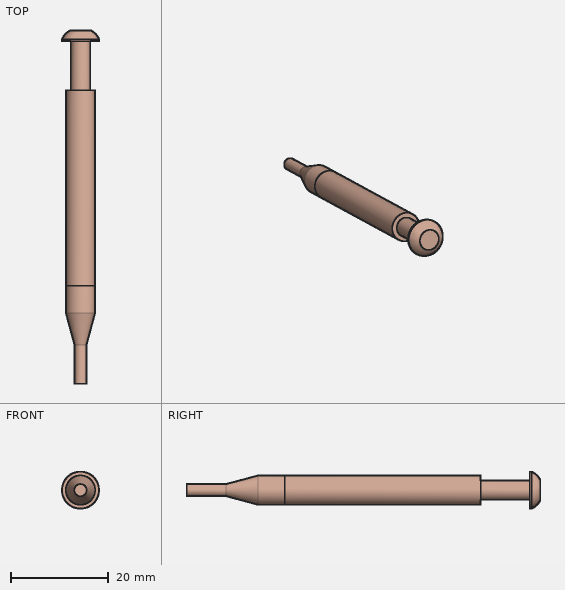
import cadquery as cq
import math


shank_diameter = 4.0
shank_length = 10.0
head_diameter = 7.6
head_height = 2.2
head_rim_height = 0.4
head_flat_diameter = 4.2
head_dome_radius = 3.5

barrel_diameter = 6.0
barrel_length = 40.0

nozzle_collar_length = 5.5
nozzle_cone_length = 6.5
nozzle_tip_length = 8.0
nozzle_tip_diameter = 2.5


def cylinder_along_y(diameter, start_y, end_y):
    """Cylinder on the Y axis between two Y positions."""
    return (
        cq.Workplane("XZ", origin=(0, end_y, 0))
        .circle(diameter / 2)
        .extrude(end_y - start_y)
    )


def make_screw():
    """Screw with a domed button head; its shank ends on the barrel's end face."""
    shank_radius = shank_diameter / 2
    head_radius = head_diameter / 2
    flat_radius = head_flat_diameter / 2
    rim_y = shank_length + head_rim_height
    top_y = shank_length + head_height

    half_chord = math.hypot(head_radius - flat_radius, top_y - rim_y) / 2
    dome_bulge = head_dome_radius - math.sqrt(head_dome_radius**2 - half_chord**2)

    return (
        cq.Workplane("XY")
        .lineTo(shank_radius, 0)
        .lineTo(shank_radius, shank_length)
        .lineTo(head_radius, shank_length)
        .lineTo(head_radius, rim_y)
        .sagittaArc((flat_radius, top_y), -dome_bulge)
        .lineTo(0, top_y)
        .close()
        .revolve(360, (0, 0, 0), (0, 1, 0))
    )


def make_barrel():
    """Plain round bar between the screw and the nozzle."""
    return cylinder_along_y(barrel_diameter, -barrel_length, 0)


def make_nozzle():
    """Collar as wide as the barrel, tapering to a slim round tip."""
    collar_radius = barrel_diameter / 2
    tip_radius = nozzle_tip_diameter / 2
    base_y = -barrel_length
    cone_start_y = base_y - nozzle_collar_length
    cone_end_y = cone_start_y - nozzle_cone_length
    tip_y = cone_end_y - nozzle_tip_length

    return (
        cq.Workplane("XY")
        .moveTo(0, base_y)
        .lineTo(collar_radius, base_y)
        .lineTo(collar_radius, cone_start_y)
        .lineTo(tip_radius, cone_end_y)
        .lineTo(tip_radius, tip_y)
        .lineTo(0, tip_y)
        .close()
        .revolve(360, (0, 0, 0), (0, 1, 0))
    )


screw = make_screw()
barrel = make_barrel()
nozzle = make_nozzle()

result = cq.Compound.makeCompound([screw.val(), barrel.val(), nozzle.val()])